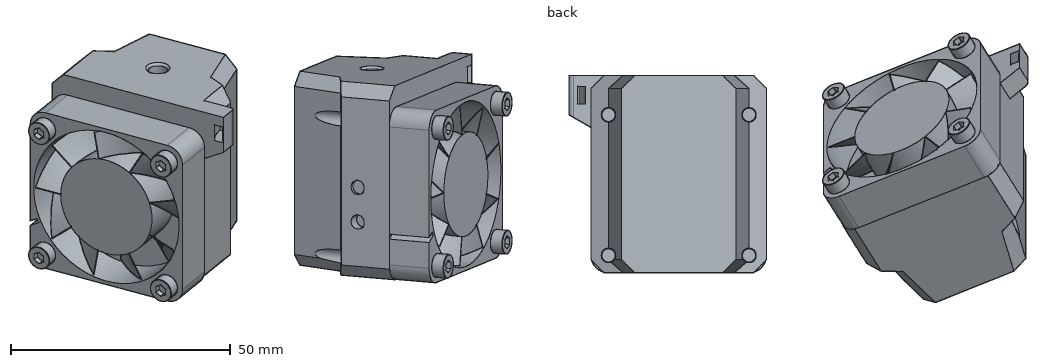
import cadquery as cq
import math


overall_width = 45.0
overall_height = 45.0
fan_size = 40.0
fan_depth = 10.0
housing_depth = 27.0
half_fan = fan_size / 2
right_end = overall_width - half_fan
top = overall_height - half_fan

front_length = 12.0
shoulder_half_width = 16.0
shoulder_slope = 0.5
back_half_width = 13.0
edge_chamfer = 3.0
shoulder_y = front_length + shoulder_slope * (half_fan - shoulder_half_width)
ridge_y = front_length + shoulder_slope * half_fan

tab_thickness = 5.0
tab_end_height = 9.0
tab_underside_angle = 30.0
tab_corner_radius = 1.0
channel_height = 4.0
channel_top_gap = 2.5
channel_gap = 1.8
channel_sag = 2.0
channel_inner_radius = (channel_sag**2 + tab_thickness**2) / (2 * channel_sag)
channel_outer_radius = channel_inner_radius + channel_gap

top_hole_diameter = 4.35
top_hole_mouth_diameter = 5.5
top_hole_depth = 10.0
top_hole_y = housing_depth / 2
countersink_depth = (top_hole_mouth_diameter - top_hole_diameter) / 2

side_hole_diameter = 3.3
side_hole_y = 7.9
upper_hole_z = 1.3
lower_hole_z = -6.7
upper_hole_depth = 1.0
lower_hole_depth = 3.0

screw_spacing = 32.0
clearance_diameter = 3.3
screw_diameter = 3.0
screw_length = 20.0
head_diameter = 5.5
head_height = 3.0
head_chamfer = 0.1
hex_across_flats = 2.5
hex_depth = 1.5
hex_turn = 30.0
half_spacing = screw_spacing / 2
screw_places = [(x, z) for x in (-half_spacing, half_spacing) for z in (-half_spacing, half_spacing)]

fan_corner_radius = 4.0
fan_bore_diameter = 38.2
fan_floor = 0.1
hub_diameter = 24.0
blade_count = 9
first_blade_angle = 180.0
blade_tip_radius = 18.65
blade_thickness = 0.2
blade_twist = 36.0
blade_root_overlap = 0.45
wire_slot_width = 1.0
wire_slot_length = 2.3
wire_slot_angle = 30.0
wire_slot_z = -9.45


def facing_front(y):
    """Workplane at depth y whose normal points to -Y, with local axes X and Z."""
    return cq.Workplane("XZ", origin=(0, y, 0))


def octagon(half_width):
    """Corner points of the housing section, chamfered at all four corners."""
    inner = half_width - edge_chamfer
    low = -half_fan
    return [
        (-inner, top), (inner, top),
        (half_width, top - edge_chamfer), (half_width, low + edge_chamfer),
        (inner, low), (-inner, low),
        (-half_width, low + edge_chamfer), (-half_width, top - edge_chamfer),
    ]


def make_front_block():
    """Chamfered block whose rear is formed by two sloping shoulders."""
    prism = facing_front(0).polyline(octagon(half_fan)).close().extrude(-ridge_y)
    plan = [(-half_fan, 0), (half_fan, 0), (half_fan, front_length), (0, ridge_y), (-half_fan, front_length)]
    shoulders = cq.Workplane("XY", origin=(0, 0, -half_fan)).polyline(plan).close().extrude(overall_height)
    return prism.intersect(shoulders)


def make_tapered_block():
    """Rear block that narrows from the shoulders to the back face."""
    return (
        facing_front(shoulder_y)
        .polyline(octagon(shoulder_half_width)).close()
        .workplane(offset=shoulder_y - housing_depth)
        .polyline(octagon(back_half_width)).close()
        .loft(ruled=True)
    )


def make_tab():
    """Flat tab beyond the right wall, level with the top."""
    end_low = top - tab_end_height
    root_low = end_low - (right_end - half_fan) * math.tan(math.radians(tab_underside_angle))
    profile = [(0, top), (right_end, top), (right_end, end_low), (half_fan, root_low), (0, root_low)]
    tab = facing_front(0).polyline(profile).close().extrude(-tab_thickness)
    return tab.edges("|Z and >X and >Y").fillet(tab_corner_radius)


def make_tie_channel():
    """Ring-shaped channel that curves through the end of the tab."""
    center_x = right_end - channel_sag + channel_inner_radius
    channel_bottom = top - channel_top_gap - channel_height
    return (
        cq.Workplane("XY", origin=(center_x, tab_thickness, channel_bottom))
        .circle(channel_outer_radius)
        .circle(channel_inner_radius)
        .extrude(channel_height)
    )


def make_top_hole():
    """Blind hole with a conical mouth, drilled down from the top face."""
    mouth_radius = top_hole_mouth_diameter / 2
    radius = top_hole_diameter / 2
    half_profile = [
        (0, top), (mouth_radius, top), (radius, top - countersink_depth),
        (radius, top - top_hole_depth), (0, top - top_hole_depth),
    ]
    hole = cq.Workplane("XZ").polyline(half_profile).close().revolve(360, (0, 0, 0), (0, 1, 0))
    return hole.translate((0, top_hole_y, 0))


def make_side_hole(z, depth):
    """Blind hole drilled into the left wall."""
    return cq.Workplane("YZ", origin=(-half_fan, side_hole_y, z)).circle(side_hole_diameter / 2).extrude(depth)


def make_housing():
    """Housing with its tab, tie channel and holes; the screw holes break out of the tapered sides."""
    housing = make_front_block().union(make_tapered_block()).union(make_tab())
    screw_holes = facing_front(0).pushPoints(screw_places).circle(clearance_diameter / 2).extrude(-housing_depth)
    return (
        housing.cut(make_tie_channel())
        .cut(make_top_hole())
        .cut(make_side_hole(upper_hole_z, upper_hole_depth))
        .cut(make_side_hole(lower_hole_z, lower_hole_depth))
        .cut(screw_holes)
    )


def make_blade(front_angle):
    """Twisted blade from the fan floor to the fan face, ending at front_angle."""
    root_radius = hub_diameter / 2 - blade_root_overlap
    section = [
        (root_radius, -blade_thickness), (blade_tip_radius, -blade_thickness),
        (blade_tip_radius, 0), (root_radius, 0),
    ]
    blade = facing_front(0).polyline(section).close().twistExtrude(fan_depth, blade_twist)
    return blade.rotate((0, 0, 0), (0, -1, 0), front_angle - blade_twist)


def make_fan():
    """Square frame with a thin floor that carries the hub and blades."""
    frame = facing_front(0).rect(fan_size, fan_size).extrude(fan_depth)
    frame = frame.edges("|Y").fillet(fan_corner_radius)
    bore = facing_front(-fan_floor).circle(fan_bore_diameter / 2).extrude(fan_depth)
    screw_holes = facing_front(0).pushPoints(screw_places).circle(clearance_diameter / 2).extrude(fan_depth)
    wire_slot = (
        facing_front(0)
        .center(-half_fan, wire_slot_z)
        .transformed(rotate=(0, 0, wire_slot_angle))
        .rect(2 * wire_slot_length, wire_slot_width)
        .extrude(fan_depth)
    )
    fan = frame.cut(bore).cut(screw_holes).cut(wire_slot)
    fan = fan.union(facing_front(0).circle(hub_diameter / 2).extrude(fan_depth))
    for index in range(blade_count):
        fan = fan.union(make_blade(first_blade_angle + index * 360 / blade_count))
    return fan


def make_screw(x, z):
    """Socket head screw with its head seated on the fan face."""
    seat = facing_front(-fan_depth).center(x, z)
    head = seat.circle(head_diameter / 2).extrude(head_height).edges().chamfer(head_chamfer)
    shank = seat.circle(screw_diameter / 2).extrude(-screw_length)
    hex_diameter = hex_across_flats / math.cos(math.pi / 6)
    socket = (
        facing_front(-fan_depth - head_height)
        .center(x, z)
        .transformed(rotate=(0, 0, hex_turn))
        .polygon(6, hex_diameter)
        .extrude(-hex_depth)
    )
    return head.union(shank).cut(socket)


housing = make_housing()
fan = make_fan()
screws = [make_screw(x, z).val() for x, z in screw_places]

result = cq.Compound.makeCompound([housing.val(), fan.val(), *screws])